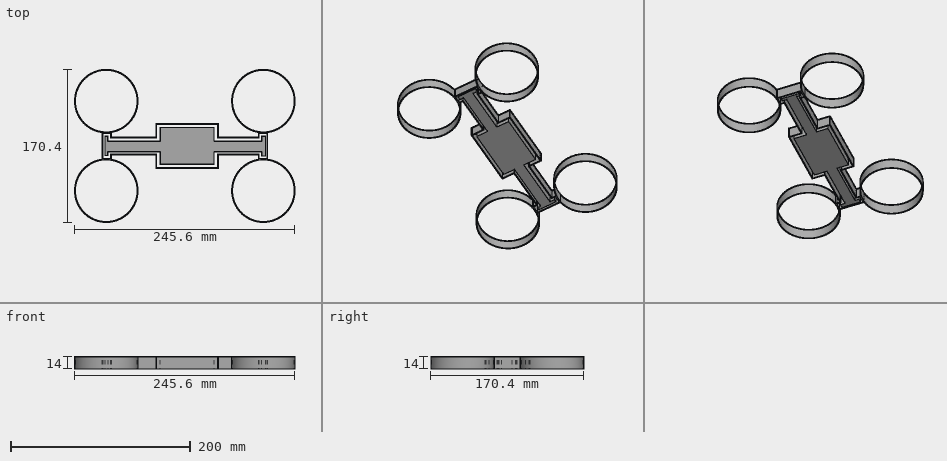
import cadquery as cq

overall_length = 245.59
overall_width = 170.45
height = 14.0
wall = 1.0

guard_bore = 68.71
guard_radius = guard_bore / 2 + wall
guard_x = overall_length / 2 - guard_radius
guard_y = overall_width / 2 - guard_radius

frame_bay_length = 69.5
frame_bay_width = 50.0
frame_arm_width = 20.0
frame_length = 184.5
frame_head_length = 10.5
frame_head_width = 30.0
bay_x = 2.5

core_bay_length = 60.0
core_bay_width = 41.0
core_arm_width = 12.0
core_arm_y = -0.7
core_left_x = -89.0
core_right_x = 90.0
left_head_length = 3.3
left_head_width = 21.7
left_head_y = 0.0
right_head_length = 4.4
right_head_width = 22.3
right_head_y = -0.3


def block(x_start, x_end, width, y_center=0.0):
    """Full-height block between two X positions, centred on y_center."""
    length = x_end - x_start
    return (
        cq.Workplane("XY")
        .box(length, width, height, centered=(False, True, False))
        .translate((x_start, y_center, 0))
    )


def frame_block(inset):
    """Solid shape of the frame outline, moved inward by inset."""
    end_x = frame_length / 2 - inset
    head_inner_x = frame_length / 2 - frame_head_length + inset
    bay_half = frame_bay_length / 2 - inset
    head_width = frame_head_width - 2 * inset
    arm = block(-end_x, end_x, frame_arm_width - 2 * inset)
    bay = block(bay_x - bay_half, bay_x + bay_half, frame_bay_width - 2 * inset)
    left_head = block(-end_x, -head_inner_x, head_width)
    right_head = block(head_inner_x, end_x, head_width)
    return arm.union(bay).union(left_head).union(right_head)


def guard_cylinders(radius):
    """Full-height cylinder at each of the four guard centres."""
    return (
        cq.Workplane("XY")
        .rect(2 * guard_x, 2 * guard_y, forConstruction=True)
        .vertices()
        .circle(radius)
        .extrude(height)
    )


def make_frame():
    """Hollow frame joined to the four guards, open at top and bottom."""
    outside = frame_block(0.0).union(guard_cylinders(guard_radius))
    return outside.cut(frame_block(wall)).cut(guard_cylinders(guard_bore / 2))


def make_core():
    """Plate with a wide bay, two arms and a cross head at each end."""
    bay_half = core_bay_length / 2
    arm = block(core_left_x, core_right_x, core_arm_width, core_arm_y)
    bay = block(bay_x - bay_half, bay_x + bay_half, core_bay_width)
    left_head = block(core_left_x, core_left_x + left_head_length, left_head_width, left_head_y)
    right_head = block(core_right_x - right_head_length, core_right_x, right_head_width, right_head_y)
    return arm.union(bay).union(left_head).union(right_head)


frame = make_frame()
core = make_core()

result = cq.Compound.makeCompound([frame.val(), core.val()])